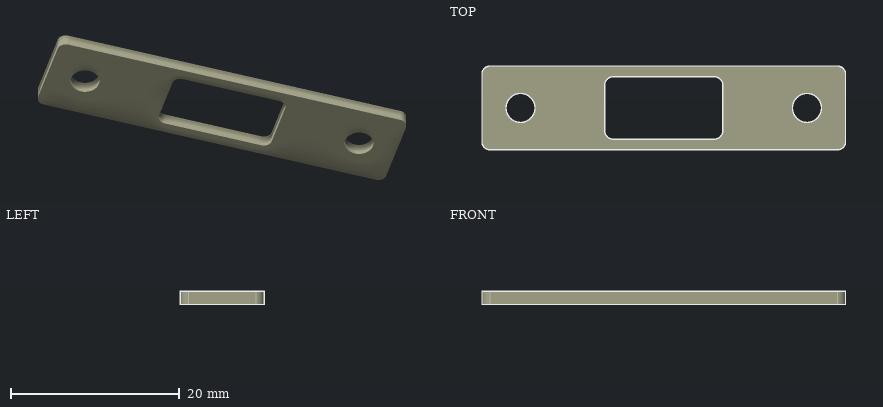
import cadquery as cq

length = 43.2
width = 10.0
thickness = 1.6
corner_radius = 1.0

window_length = 14.0
window_width = 7.4
window_corner_radius = 1.0

hole_diameter = 3.4
hole_spacing = 34.0


def rounded_block(block_length, block_width, radius):
    """Block of plate thickness, standing on Z = 0, with rounded vertical edges."""
    block = cq.Workplane("XY").box(block_length, block_width, thickness, centered=(True, True, False))
    return block.edges("|Z").fillet(radius)


plate = rounded_block(length, width, corner_radius)
window = rounded_block(window_length, window_width, window_corner_radius)
holes = (
    cq.Workplane("XY")
    .rarray(hole_spacing, 0.45, 2, 1)
    .circle(hole_diameter / 2)
    .extrude(thickness)
)

result = plate.cut(window).cut(holes)